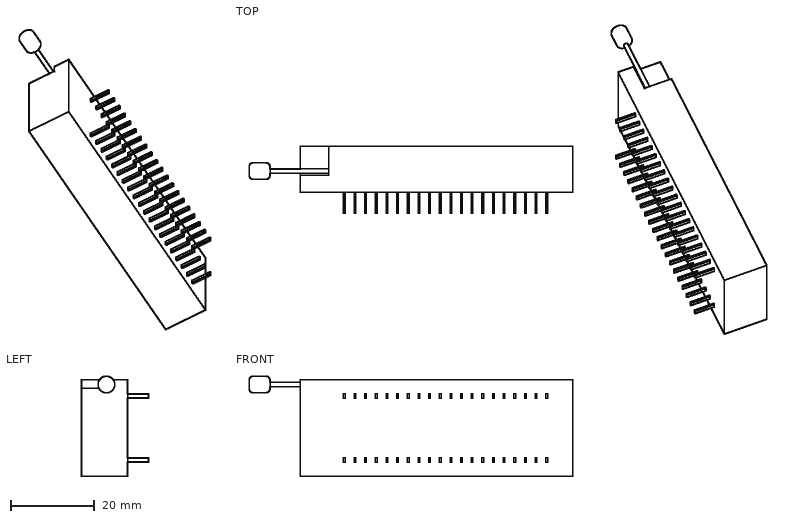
import cadquery as cq

body_length = 65.0
body_depth = 11.0
body_height = 23.0

recess_length = 6.75
recess_depth = 7.0
recess_height = 2.0

overall_length = 77.19
overall_height = 23.87
knob_diameter = 4.0
knob_length = 5.0
knob_fillet = 1.0
rod_diameter = 1.1
lever_y = -5.95
lever_z = overall_height - knob_diameter / 2
knob_start_x = body_length - overall_length

pins_per_row = 20
pin_pitch = 2.54
row_spacing = 15.24
first_pin_x = 10.5
pin_width = 0.4
pin_height = 1.0
pin_length = 5.0


def make_housing():
    block = cq.Workplane("XY").box(body_length, body_depth, body_height, centered=False)
    recess = cq.Workplane("XY").box(recess_length, recess_depth, recess_height, centered=False)
    block = block.translate((0, -body_depth, 0))
    return block.cut(recess.translate((0, -recess_depth, body_height - recess_height)))


def make_lever():
    axis_plane = cq.Workplane("YZ", origin=(knob_start_x, lever_y, lever_z))
    knob = axis_plane.circle(knob_diameter / 2).extrude(knob_length).edges().fillet(knob_fillet)
    rod = axis_plane.circle(rod_diameter / 2).extrude(recess_length - knob_start_x)
    return knob.union(rod)


def make_pins():
    grid_centre_x = first_pin_x + (pins_per_row - 1) * pin_pitch / 2
    return (
        cq.Workplane("XZ", origin=(grid_centre_x, -body_depth, body_height / 2))
        .rarray(pin_pitch, row_spacing, pins_per_row, 2)
        .rect(pin_width, pin_height)
        .extrude(pin_length)
    )


result = make_housing().union(make_lever()).union(make_pins())